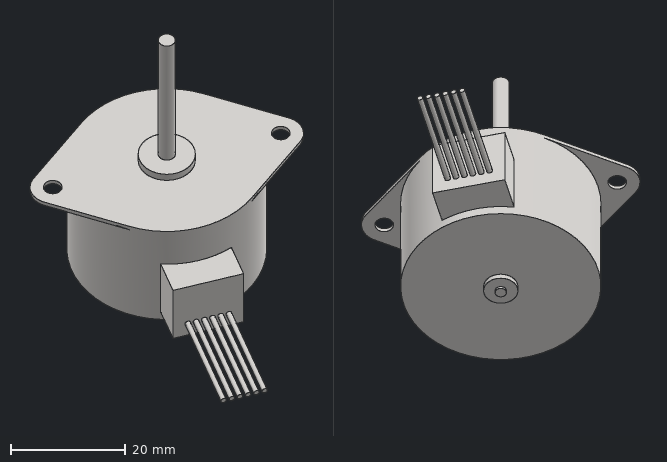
import cadquery as cq
import math

can_radius = 35.0 / 2
can_height = 22.0

flange_thickness = 0.85
ear_offset = 21.0
ear_radius = 4.0
mount_hole_diameter = 3.2

shaft_diameter = 3.0
shaft_top = 51.95
top_boss_diameter = 10.0
top_boss_height = 1.5
bottom_boss_diameter = 6.0
bottom_boss_height = 1.0
shaft_end_diameter = 2.0
shaft_end_height = 0.5

connector_outer_x = 23.05
connector_width = 13.0
connector_bottom = 1.8
connector_height = 12.05

wire_count = 6
wire_diameter = 1.0
wire_pitch = 1.5
wire_height = 4.8
total_length = 60.5
wire_length = total_length - can_radius - connector_outer_x


def cylinder(diameter, bottom, top):
    """Cylinder on the motor axis between two heights."""
    return cq.Workplane("XY").workplane(offset=bottom).circle(diameter / 2).extrude(top - bottom)


def make_flange():
    """Plate with two rounded ears joined to the can circle by tangent lines."""
    tangent_sin = (can_radius - ear_radius) / ear_offset
    tangent_cos = math.sqrt(1 - tangent_sin**2)
    side_x = can_radius * tangent_cos
    side_y = can_radius * tangent_sin
    ear_x = ear_radius * tangent_cos
    ear_y = ear_offset + ear_radius * tangent_sin
    ear_tip = ear_offset + ear_radius
    return (
        cq.Workplane("XY")
        .workplane(offset=can_height - flange_thickness)
        .moveTo(side_x, -side_y)
        .threePointArc((can_radius, 0), (side_x, side_y))
        .lineTo(ear_x, ear_y)
        .threePointArc((0, ear_tip), (-ear_x, ear_y))
        .lineTo(-side_x, side_y)
        .threePointArc((-can_radius, 0), (-side_x, -side_y))
        .lineTo(-ear_x, -ear_y)
        .threePointArc((0, -ear_tip), (ear_x, -ear_y))
        .close()
        .pushPoints([(0, -ear_offset), (0, ear_offset)])
        .circle(mount_hole_diameter / 2)
        .extrude(flange_thickness)
    )


def make_connector():
    """Block on the +X side, running into the can."""
    return cq.Workplane("XY").box(
        connector_outer_x, connector_width, connector_height, centered=(False, True, False)
    ).translate((0, 0, connector_bottom))


def make_wires():
    """Row of straight leads leaving the outer face of the connector."""
    first_y = -wire_pitch * (wire_count - 1) / 2
    centers = [(first_y + i * wire_pitch, wire_height) for i in range(wire_count)]
    return (
        cq.Workplane("YZ")
        .workplane(offset=connector_outer_x)
        .pushPoints(centers)
        .circle(wire_diameter / 2)
        .extrude(wire_length)
    )


can = cylinder(2 * can_radius, 0, can_height - flange_thickness)
shaft = cylinder(shaft_diameter, can_height, shaft_top)
top_boss = cylinder(top_boss_diameter, can_height, can_height + top_boss_height)
bottom_boss = cylinder(bottom_boss_diameter, -bottom_boss_height, 0)
shaft_end = cylinder(shaft_end_diameter, -bottom_boss_height - shaft_end_height, -bottom_boss_height)

result = can
for piece in (make_flange(), top_boss, shaft, bottom_boss, shaft_end, make_connector(), make_wires()):
    result = result.union(piece)